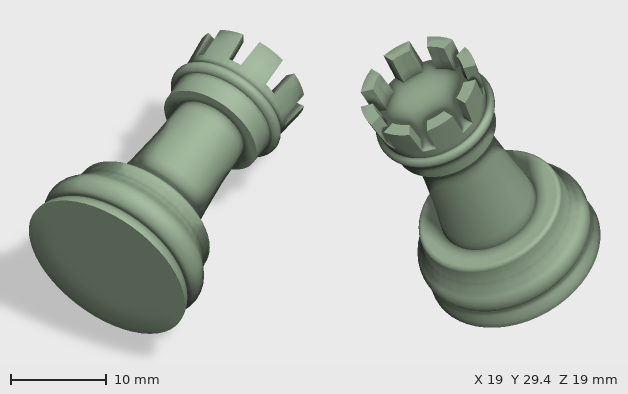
import cadquery as cq

total_height = 29.4
neck_height = 1.75
bulge_height = 3.3
waist_start = 4.5
waist_middle = 5.97
base_edge_start = 7.53
base_top = 8.0
stem_middle = 14.5
crown_bottom = 21.02
crown_lower_height = 22.65
ring_height = 24.17

base_radius = 9.5
foot_shoulder_radius = 9.25
foot_shoulder_height = 0.9
neck_radius = 8.23
waist_start_radius = 9.1
waist_middle_radius = 8.23
base_edge_radius = 7.95
base_edge_round = base_top - base_edge_start
stem_bottom_radius = 5.35
stem_middle_radius = 4.5
stem_top_radius = 4.12
crown_bottom_radius = 5.62
crown_lower_radius = 5.7
ring_center_radius = 5.95
ring_section_radius = 0.65
crown_top_radius = 6.47

slot_count = 8
slot_depth = 3.38
slot_top_width = 1.95
slot_bottom_width = 1.47
wall_thickness = 1.35
slot_floor = total_height - slot_depth
crown_slope = (crown_top_radius - ring_center_radius) / (total_height - ring_height)
hollow_top_radius = crown_top_radius - wall_thickness
hollow_floor_radius = hollow_top_radius - crown_slope * slot_depth


def revolve_about_y(profile):
    return profile.revolve(360, (0, 0, 0), (0, 1, 0))


def make_body():
    """Solid of revolution: foot, rounded base, flared stem and crown."""
    profile = (
        cq.Workplane("XY")
        .lineTo(base_radius, 0)
        .threePointArc((foot_shoulder_radius, foot_shoulder_height), (neck_radius, neck_height))
        .threePointArc((base_radius, bulge_height), (waist_start_radius, waist_start))
        .threePointArc((waist_middle_radius, waist_middle), (base_edge_radius, base_edge_start))
        .tangentArcPoint((base_edge_radius - base_edge_round, base_top), relative=False)
        .lineTo(stem_bottom_radius, base_top)
        .threePointArc((stem_middle_radius, stem_middle), (stem_top_radius, crown_bottom))
        .lineTo(crown_bottom_radius, crown_bottom)
        .threePointArc((crown_lower_radius, crown_lower_height), (ring_center_radius, ring_height))
        .lineTo(crown_top_radius, total_height)
        .lineTo(0, total_height)
        .close()
    )
    return revolve_about_y(profile)


def make_ring():
    """Round bead circling the crown."""
    section = cq.Workplane("XY").center(ring_center_radius, ring_height).circle(ring_section_radius)
    return section.revolve(360, (-ring_center_radius, 0, 0), (-ring_center_radius, 1, 0))


def make_hollow():
    """Conical recess in the crown, level with the slot floors."""
    profile = cq.Workplane("XY").polyline([
        (0, slot_floor),
        (hollow_floor_radius, slot_floor),
        (hollow_top_radius, total_height),
        (0, total_height),
    ]).close()
    return revolve_about_y(profile)


def make_slot(angle):
    """One slot, wider at the rim, reaching outward from the axis."""
    section = cq.Workplane("XY").polyline([
        (-slot_bottom_width / 2, slot_floor),
        (slot_bottom_width / 2, slot_floor),
        (slot_top_width / 2, total_height),
        (-slot_top_width / 2, total_height),
    ]).close()
    return section.extrude(base_radius).rotate((0, 0, 0), (0, 1, 0), angle)


result = make_body().union(make_ring()).cut(make_hollow())
for slot_index in range(slot_count):
    result = result.cut(make_slot(slot_index * 360 / slot_count))